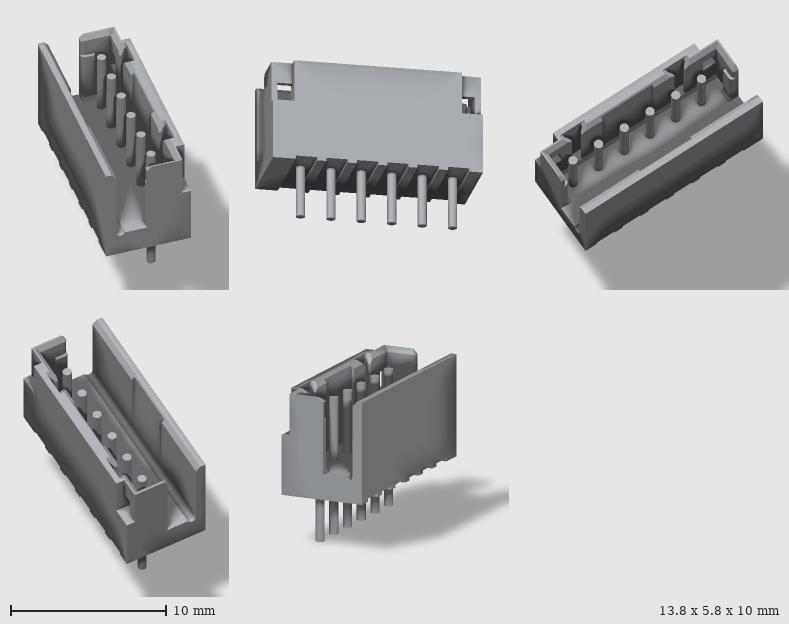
import cadquery as cq
import math


length = 13.8
depth = 5.8
height = 6.8
floor_z = 1.7
lead_in = 0.3
front_wall = 0.7
groove_radius = 0.3
groove_axis_rise = 0.1
side_wall_front = 2.8
side_wall = 0.4
cavity_back = 4.8
corner_radius = 0.25
foot_chamfer = 0.21

pin_count = 6
pitch = 2.0
pin_diameter = 0.6
first_pin_x = 1.59
pin_y = 3.8
pin_top = 5.9
pin_bottom = -3.2
row_center = first_pin_x + pitch * (pin_count - 1) / 2

standoff_height = 0.22
standoff_groove = 1.41

notch_length = 1.4
notch_front = 5.2
notch_z = 4.0
window_top = 5.4

rib_thickness = 0.21
rib_back = 3.7
rib_top = 5.3

slot_spacing = 4 * pitch
slot_back = 5.4
slot_step = 5.25
slot_wide = 1.38
slot_narrow = 0.8
slot_mouth = 1.92

recess_length = 2 * pitch
recess_depth = 0.21


def box(x0, x1, y0, y1, z0, z1):
    return cq.Workplane("XY").box(x1 - x0, y1 - y0, z1 - z0, centered=False).translate((x0, y0, z0))


def along_x(points, x0, x1):
    """Extrude a closed (Y, Z) outline from x0 to x1."""
    return cq.Workplane("YZ", origin=(x0, 0, 0)).polyline(points).close().extrude(x1 - x0)


def along_y(points, y0, y1):
    """Extrude a closed (X, Z) outline from y0 to y1."""
    return cq.Workplane("XZ", origin=(0, y0, 0)).polyline(points).close().extrude(y0 - y1)


def mirrored(solid):
    """Copy a feature of the X = 0 end to the other end of the housing."""
    return solid.mirror("YZ").translate((length, 0, 0))


def housing_block():
    groove_y = front_wall + groove_radius
    groove_z = floor_z + groove_axis_rise
    half_chord = math.sqrt(groove_radius**2 - groove_axis_rise**2)
    return (
        cq.Workplane("YZ")
        .moveTo(0, 0)
        .lineTo(depth, 0)
        .lineTo(depth, height)
        .lineTo(side_wall_front + lead_in, height)
        .lineTo(side_wall_front, height - lead_in)
        .lineTo(side_wall_front, floor_z)
        .lineTo(groove_y + half_chord, floor_z)
        .threePointArc((groove_y, groove_z - groove_radius), (front_wall, groove_z))
        .lineTo(front_wall, height - lead_in)
        .lineTo(front_wall - lead_in, height)
        .lineTo(0, height)
        .close()
        .extrude(length)
    )


def cavity():
    """Space between the side walls, widened at its mouth by the lead-in."""
    front = (front_wall + side_wall_front) / 2
    width = length - 2 * side_wall
    span = cavity_back - front
    shaft = box(side_wall, length - side_wall, front, cavity_back, floor_z, height)
    mouth = (
        cq.Workplane("XY", origin=(length / 2, front + span / 2, height - lead_in))
        .rect(width, span)
        .workplane(offset=lead_in)
        .rect(width + 2 * lead_in, span + 2 * lead_in)
        .loft(ruled=True)
    )
    return shaft.union(mouth)


def corner_rounding(x, z0, z1):
    """Sliver between a sharp wall corner at x and its rounded form."""
    y = side_wall_front
    bite = box(x - corner_radius, x, y, y + corner_radius, z0, z1)
    round_bar = (
        cq.Workplane("XY", origin=(x - corner_radius, y + corner_radius, z0))
        .circle(corner_radius)
        .extrude(z1 - z0)
    )
    return bite.cut(round_bar)


def side_rib():
    """Rib with a rounded corner, standing on a 45 degree foot."""
    face = side_wall + rib_thickness
    rib = box(0, face, side_wall_front, rib_back, floor_z, rib_top)
    rib = rib.cut(corner_rounding(face, floor_z, rib_top))
    toe = face + foot_chamfer
    foot = along_y([(0, floor_z), (toe, floor_z), (0, floor_z + toe)], side_wall_front, rib_back)
    return rib.union(foot)


def back_foot():
    """Sloped strip where the back wall meets the floor."""
    outline = [
        (cavity_back, floor_z),
        (cavity_back - foot_chamfer, floor_z),
        (cavity_back, floor_z + foot_chamfer),
    ]
    return along_x(outline, side_wall, length - side_wall)


def rear_corner():
    """Outer corner notch and the window from it into the cavity."""
    notch = box(0, notch_length, notch_front, depth, notch_z, height)
    window = box(side_wall, notch_length, cavity_back, notch_front, notch_z, window_top)
    return notch.union(window)


def dovetail_slot(x):
    wide = slot_wide / 2
    narrow = slot_narrow / 2
    mouth = slot_mouth / 2
    neck_y = slot_step - (wide - narrow)
    outline = [
        (x - narrow, cavity_back),
        (x - narrow, neck_y),
        (x - wide, slot_step),
        (x - wide, slot_back),
        (x + wide, slot_back),
        (x + wide, slot_step),
        (x + narrow, neck_y),
        (x + narrow, cavity_back),
    ]
    bottom = floor_z + foot_chamfer
    slot = cq.Workplane("XY", origin=(0, 0, bottom)).polyline(outline).close().extrude(height - bottom)
    flare_z = height - (mouth - narrow)
    flare = [(x - narrow, flare_z), (x + narrow, flare_z), (x + mouth, height), (x - mouth, height)]
    return slot.union(along_y(flare, cavity_back, slot_back))


def wall_recess(wall_y, direction):
    """Wedge sunk into a long wall; direction points into the wall along Y."""
    bottom = floor_z + foot_chamfer
    outline = [(wall_y, bottom), (wall_y, height), (wall_y + direction * recess_depth, height)]
    return along_x(outline, row_center - recess_length / 2, row_center + recess_length / 2)


def underside_groove(x):
    half_width = standoff_groove / 2
    return box(x - half_width, x + half_width, 0, depth, 0, standoff_height)


def pin(x):
    bottom_face = cq.Workplane("XY", origin=(x, pin_y, pin_bottom))
    return bottom_face.circle(pin_diameter / 2).extrude(pin_top - pin_bottom)


rib = side_rib()
wall_rounding = corner_rounding(side_wall, floor_z, height - lead_in)
corner = rear_corner()

result = housing_block().cut(cavity())
result = result.cut(wall_rounding).cut(mirrored(wall_rounding))
result = result.union(rib).union(mirrored(rib)).union(back_foot())
result = result.cut(corner).cut(mirrored(corner))

for slot_x in (row_center - slot_spacing / 2, row_center + slot_spacing / 2):
    result = result.cut(dovetail_slot(slot_x))

result = result.cut(wall_recess(front_wall, -1))
result = result.cut(wall_recess(cavity_back, 1))

for index in range(pin_count):
    pin_x = first_pin_x + index * pitch
    result = result.cut(underside_groove(pin_x)).union(pin(pin_x))